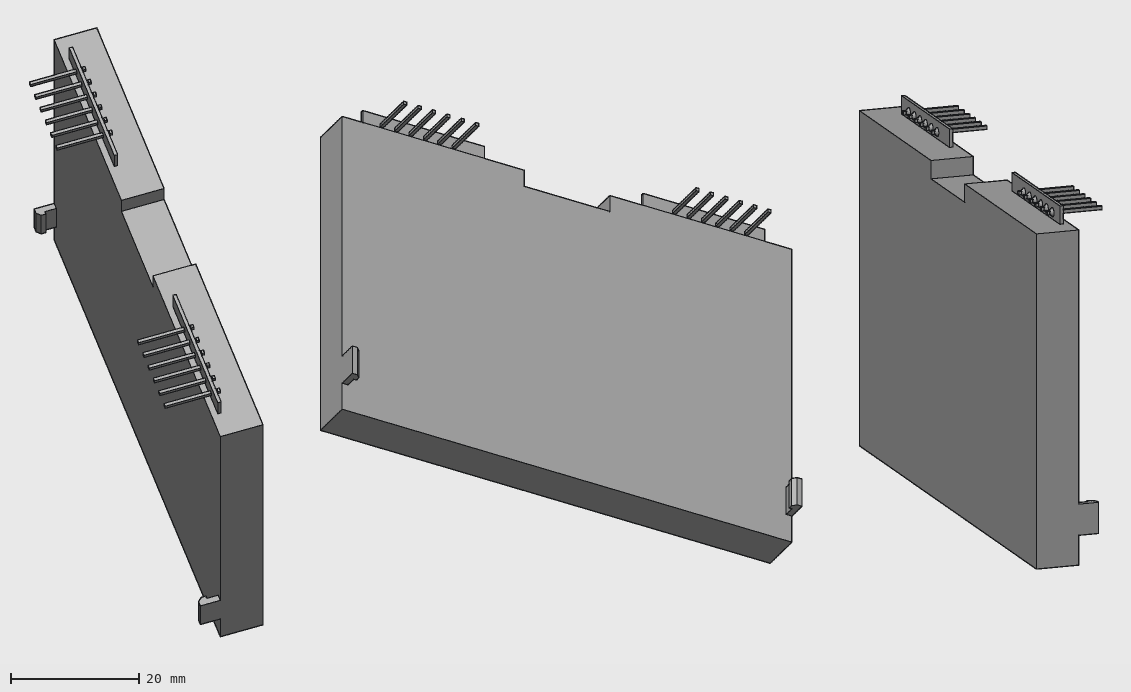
import cadquery as cq

body_width = 80.0
body_depth = 7.0
body_height = 54.0
notch_width = 15.2
notch_depth = 3.0

strip_width = 21.7
strip_height = 3.0
strip_thickness = 0.6
strip_side_gap = 4.2
strip_front_gap = 1.0

pin_size = 0.6
pin_pitch = 2.6
pin_count = 6
pin_reach = 6.6
pin_tail = 1.0
pin_rise = 1.1
first_pin_left = 7.6
first_pin_right = 59.6

solder_radius = 0.7
solder_length = 0.6

clip_height = 5.0
clip_bottom = 4.8
clip_reach = 3.3
clip_stem = 1.0
hook_width = 1.5
hook_length = 1.4
hook_chamfer = 0.6

strip_back = strip_front_gap + strip_thickness
pin_z = body_height + pin_rise


def block(x, y, z, width, depth, height):
    """Box placed by its lowest corner."""
    return cq.Workplane("XY").box(width, depth, height, centered=False).translate((x, y, z))


def make_body():
    slab = block(0, 0, 0, body_width, body_depth, body_height)
    notch = block(
        (body_width - notch_width) / 2, 0, body_height - notch_depth,
        notch_width, body_depth, notch_depth,
    )
    return slab.cut(notch)


def make_pin(x):
    """Square pin centred on x, with its solder cone."""
    pin = block(
        x - pin_size / 2, -pin_reach, pin_z - pin_size / 2,
        pin_size, pin_reach + strip_back + pin_tail, pin_size,
    )
    solder = cq.Workplane(
        cq.Solid.makeCone(
            solder_radius, pin_size / 2, solder_length,
            cq.Vector(x, strip_back, pin_z), cq.Vector(0, 1, 0),
        )
    )
    return pin.union(solder)


def make_connector(strip_x, first_pin_x):
    connector = block(
        strip_x, strip_front_gap, body_height, strip_width, strip_thickness, strip_height
    )
    for i in range(pin_count):
        connector = connector.union(make_pin(first_pin_x + i * pin_pitch))
    return connector


def make_left_clip():
    """Clip flush with the left side, its hook pointing inwards."""
    outline = [
        (0, 0),
        (0, -clip_reach),
        (hook_width - hook_chamfer, -clip_reach),
        (hook_width, -clip_reach + hook_chamfer),
        (hook_width, -clip_reach + hook_length),
        (clip_stem, -clip_reach + hook_length),
        (clip_stem, 0),
    ]
    return cq.Workplane("XY").workplane(offset=clip_bottom).polyline(outline).close().extrude(clip_height)


left_clip = make_left_clip()
right_clip = left_clip.mirror("YZ").translate((body_width, 0, 0))
left_connector = make_connector(strip_side_gap, first_pin_left)
right_connector = make_connector(body_width - strip_side_gap - strip_width, first_pin_right)

result = (
    make_body()
    .union(left_connector)
    .union(right_connector)
    .union(left_clip)
    .union(right_clip)
)